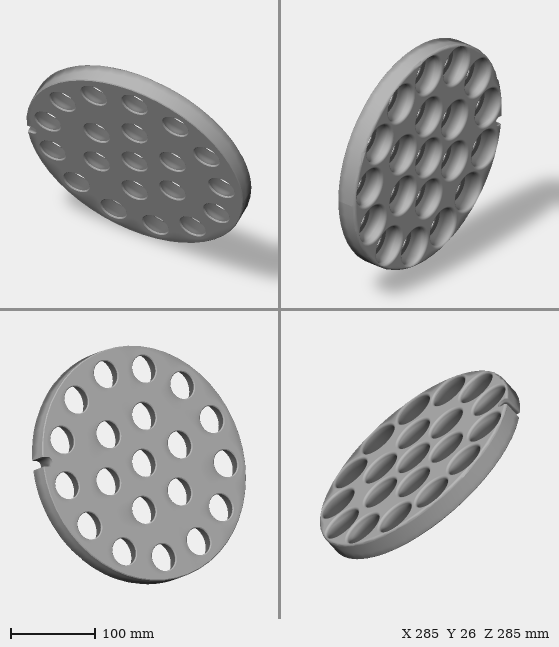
import cadquery as cq
disc_diameter = 285.0
thickness = 26.0
front_edge_chamfer = 1.0
back_edge_radius = 3.5

hole_diameter = 33.0
hole_chamfer = 1.0
web_thickness = 2.0
counterbore_diameter = 48.0
counterbore_edge_radius = 3.0
outer_ring_radius = 115.0
outer_ring_count = 13
inner_ring_radius = outer_ring_radius / 2
inner_ring_count = 6
first_hole_angle = 90.0

notch_width = 12.0
notch_depth = 13.0
notch_angle = 186.5

disc_radius = disc_diameter / 2
front_y = -thickness / 2
back_y = thickness / 2


def face_plane(y):
    """Sketch plane at position y, with local x along X, local y along Z and normal along -Y."""
    return cq.Workplane("XZ", origin=(0, y, 0))


def make_disc():
    disc = face_plane(back_y).circle(disc_radius).extrude(thickness)
    disc = disc.faces("<Y").edges().chamfer(front_edge_chamfer)
    return disc.faces(">Y").edges().fillet(back_edge_radius)


def make_hole_cutter():
    """Cutter on the disc axis: a chamfered hole in a thin front web, then a wide bore with a rounded back edge."""
    bore_radius = hole_diameter / 2
    counterbore_radius = counterbore_diameter / 2
    floor_y = front_y + web_thickness
    arc_inset = counterbore_edge_radius * (1 - 0.5 ** 0.5)
    return (
        cq.Workplane("XY")
        .moveTo(0, front_y)
        .lineTo(bore_radius + hole_chamfer, front_y)
        .lineTo(bore_radius, front_y + hole_chamfer)
        .lineTo(bore_radius, floor_y)
        .lineTo(counterbore_radius, floor_y)
        .lineTo(counterbore_radius, back_y - counterbore_edge_radius)
        .threePointArc(
            (counterbore_radius + arc_inset, back_y - arc_inset),
            (counterbore_radius + counterbore_edge_radius, back_y),
        )
        .lineTo(0, back_y)
        .close()
        .revolve(360, (0, 0, 0), (0, 1, 0))
        .val()
    )


def cut_holes(disc):
    cutter = make_hole_cutter()
    inner_ring = face_plane(0).polarArray(inner_ring_radius, first_hole_angle, 360, inner_ring_count)
    outer_ring = face_plane(0).polarArray(outer_ring_radius, first_hole_angle, 360, outer_ring_count)
    disc = disc.cut(cq.Workplane(cutter))
    for ring in (inner_ring, outer_ring):
        for location in ring.vals():
            center = ring.plane.toWorldCoords(location.toTuple()[0])
            disc = disc.cut(cq.Workplane(cutter.translate(center)))
    return disc


def make_notch_cutter():
    """Slot along +X with a round inner end, turned about the disc axis to the notch angle."""
    notch_end_center = disc_radius - notch_depth + notch_width / 2
    slot_length = 2 * notch_depth
    round_end = (
        face_plane(back_y)
        .center(notch_end_center, 0)
        .circle(notch_width / 2)
        .extrude(thickness)
    )
    straight = (
        face_plane(back_y)
        .center(notch_end_center + slot_length / 2, 0)
        .rect(slot_length, notch_width)
        .extrude(thickness)
    )
    return round_end.union(straight).rotate((0, 0, 0), (0, -1, 0), notch_angle)


result = cut_holes(make_disc()).cut(make_notch_cutter())